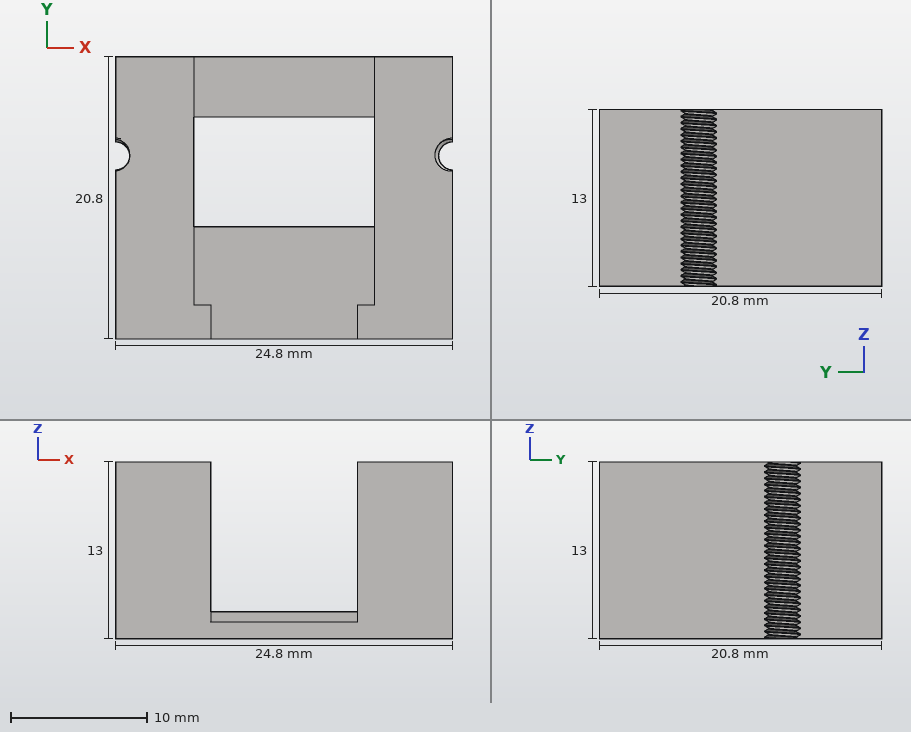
import cadquery as cq
import math

WIDTH = 24.75
DEPTH = 20.75
HEIGHT = 13.0

CHANNEL_WIDTH = 13.25
MOUTH_WIDTH = 10.75
LIP_DEPTH = 2.5

FLOOR_DEPTH = 8.25
FLOOR_THICKNESS = 1.25
BAR_FRONT_Y = 16.3
BAR_THICKNESS = 2.0

THREAD_Y = 13.45
THREAD_PITCH = 0.45
MINOR_RADIUS = 1.02
MAJOR_RADIUS = 1.31
FLANK_ANGLE = 30.0
ROOT_FLAT = THREAD_PITCH / 8
TOP_GROOVE_ANGLE = 155.0

OVERRUN = 1.0
CORE_OVERLAP = 0.04


def box_between(x_size, y_start, y_end, z_start, z_end):
    """Box centred on X = 0 between the given Y and Z limits."""
    return (
        cq.Workplane("XY")
        .box(x_size, y_end - y_start, z_end - z_start, centered=(True, False, False))
        .translate((0, y_start, z_start))
    )


def frame():
    """U-shaped body: two walls with front lips, joined by the floor and the rear bar."""
    body = box_between(WIDTH, 0, DEPTH, 0, HEIGHT)
    mouth = box_between(MOUTH_WIDTH, -OVERRUN, LIP_DEPTH, FLOOR_THICKNESS, HEIGHT + OVERRUN)
    above_floor = box_between(CHANNEL_WIDTH, LIP_DEPTH, FLOOR_DEPTH, FLOOR_THICKNESS, HEIGHT + OVERRUN)
    window = box_between(CHANNEL_WIDTH, FLOOR_DEPTH, BAR_FRONT_Y, -OVERRUN, HEIGHT + OVERRUN)
    above_bar = box_between(CHANNEL_WIDTH, BAR_FRONT_Y, DEPTH + OVERRUN, BAR_THICKNESS, HEIGHT + OVERRUN)
    for space in (mouth, above_floor, window, above_bar):
        body = body.cut(space)
    return body


def thread_groove():
    """Right-handed helical groove around the Z axis, longer than the block is high."""
    turns = math.ceil(HEIGHT / THREAD_PITCH) + 2
    start_z = HEIGHT - (turns - 1) * THREAD_PITCH
    inner_radius = MINOR_RADIUS - CORE_OVERLAP
    half_root = ROOT_FLAT / 2
    half_mouth = half_root + (MAJOR_RADIUS - inner_radius) * math.tan(math.radians(FLANK_ANGLE))
    path = cq.Wire.makeHelix(THREAD_PITCH, turns * THREAD_PITCH, MINOR_RADIUS)
    profile = cq.Workplane("XZ").polyline(
        [
            (inner_radius, -half_mouth),
            (MAJOR_RADIUS, -half_root),
            (MAJOR_RADIUS, half_root),
            (inner_radius, half_mouth),
        ]
    ).close()
    groove = profile.sweep(cq.Workplane(path), isFrenet=True)
    return groove.rotate((0, 0, 0), (0, 0, 1), TOP_GROOVE_ANGLE).translate((0, 0, start_z))


def thread_tool():
    """Complete threaded hole as a solid, trimmed to the height of the block."""
    trim_size = 2 * (MAJOR_RADIUS + OVERRUN)
    trim = box_between(trim_size, -trim_size / 2, trim_size / 2, 0, HEIGHT)
    core = cq.Workplane("XY").circle(MINOR_RADIUS).extrude(HEIGHT)
    return core.union(trim.intersect(thread_groove()))


def cut_side_threads(body):
    """Cut a threaded half-hole, top to bottom, into each outer side face."""
    tool = thread_tool()
    for side_x in (-WIDTH / 2, WIDTH / 2):
        body = body.cut(tool.translate((side_x, THREAD_Y, 0)))
    return body


result = cut_side_threads(frame())